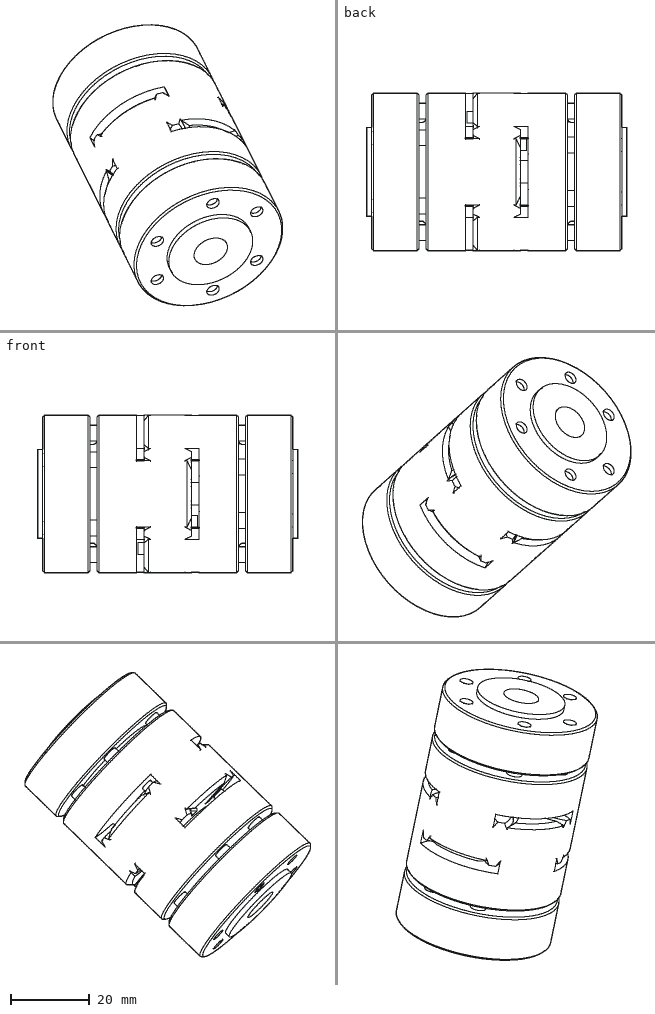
import cadquery as cq
import math


HALF_LENGTH = 33.0
FLANGE_OUTER_X = 31.7
FLANGE_INNER_X = 19.7
BODY_OUTER_X = 17.95
CLAW_ROOT_X = 7.9
CLAW_TIP_X = 6.0

OUTER_DIA = 40.0
BORE_DIA = 9.0
HUB_DIA = 22.6
NECK_DIA = 25.1
NECK_FILLET = 1.1
EDGE_CHAMFER = 0.5

CLAW_COUNT = 3
CLAW_BORE_DIA = 24.0
CLAW_TIP_CHAMFER = 1.1
CLAW_FLANK_CHAMFER_ANGLE = 45
PAD_MIDDLE_RADIUS = 13.2
PAD_WIDTH = 6.85
PAD_FLANK_RADIUS = 14.5

SPIDER_BORE_DIA = 18.0
PAD_TAPER_START_X = 4.35
PAD_TAPER_INSET = 0.8
BUTTON_DIA = 3.0
BUTTON_CIRCLE_RADIUS = 13.85
BUTTON_END_X = 7.6

PIN_DIA = 4.0
PIN_CIRCLE_RADIUS = 15.45
PIN_HALF_ANGLE = 26.0
SCREW_HOLE_DIA = 3.3
SCREW_HOLE_DEPTH = 1.3

CLAW_PITCH = 360 / CLAW_COUNT
PAD_PITCH = CLAW_PITCH / 2

CLAW_ANGLES = [180 + i * CLAW_PITCH for i in range(CLAW_COUNT)]
PAD_ANGLES = [PAD_PITCH / 2 + i * PAD_PITCH for i in range(2 * CLAW_COUNT)]
LEFT_BUTTON_ANGLES = [angle - PAD_PITCH / 2 for angle in CLAW_ANGLES]
RIGHT_BUTTON_ANGLES = [angle + PAD_PITCH / 2 for angle in CLAW_ANGLES]
PIN_ANGLES = [
    i * CLAW_PITCH + side * PIN_HALF_ANGLE for i in range(CLAW_COUNT) for side in (-1, 1)
]


def polar(radius, angle):
    """Point (y, z) at a radius and an angle in degrees about the X axis."""
    turn = math.radians(angle)
    return (radius * math.cos(turn), radius * math.sin(turn))


def cylinders(x_start, x_end, diameter, points=((0, 0),)):
    """Cylinders parallel to X, one at each (y, z) point."""
    plane = cq.Workplane("YZ", origin=(x_start, 0, 0))
    return plane.pushPoints(points).circle(diameter / 2).extrude(x_end - x_start)


def ring_points(radius, angles):
    return [polar(radius, angle) for angle in angles]


def flange():
    """Chamfered end disc with its hub face and blind screw holes."""
    disc = cylinders(-FLANGE_OUTER_X, -FLANGE_INNER_X, OUTER_DIA)
    disc = disc.faces("<X or >X").edges().chamfer(EDGE_CHAMFER)
    hub = cylinders(-HALF_LENGTH, -FLANGE_OUTER_X, HUB_DIA)
    screw_holes = cylinders(
        -FLANGE_OUTER_X,
        -FLANGE_OUTER_X + SCREW_HOLE_DEPTH,
        SCREW_HOLE_DIA,
        ring_points(PIN_CIRCLE_RADIUS, PIN_ANGLES),
    )
    return disc.union(hub).cut(screw_holes)


def neck():
    """Hub crossing the gap to the flange, flaring into the body face."""
    radius = NECK_DIA / 2
    fillet_middle = NECK_FILLET * (1 - math.sqrt(0.5))
    profile = (
        cq.Workplane("XY")
        .moveTo(-FLANGE_INNER_X, 0)
        .lineTo(-FLANGE_INNER_X, radius)
        .lineTo(-BODY_OUTER_X - NECK_FILLET, radius)
        .threePointArc(
            (-BODY_OUTER_X - fillet_middle, radius + fillet_middle),
            (-BODY_OUTER_X, radius + NECK_FILLET),
        )
        .lineTo(-BODY_OUTER_X, 0)
        .close()
    )
    return profile.revolve(360, (0, 0, 0), (1, 0, 0))


def claw_sector(angle):
    """Wedge one pad pitch wide, from the claw root to the claw tip."""
    reach = OUTER_DIA
    corners = [
        (0, 0),
        polar(reach, angle - PAD_PITCH / 2),
        polar(reach, angle + PAD_PITCH / 2),
    ]
    plane = cq.Workplane("YZ", origin=(-CLAW_ROOT_X, 0, 0))
    return plane.polyline(corners).close().extrude(CLAW_ROOT_X + CLAW_TIP_X)


def lens(x_start, x_end, angle, taper=0):
    """Prism between two pad flank arcs; a positive taper narrows it toward x_end."""
    half_width = PAD_WIDTH / 2
    half_length = math.sqrt(PAD_FLANK_RADIUS**2 - (PAD_FLANK_RADIUS - half_width) ** 2)
    inner_point = (PAD_MIDDLE_RADIUS - half_length, 0)
    outer_point = (PAD_MIDDLE_RADIUS + half_length, 0)
    outline = (
        cq.Workplane("YZ", origin=(x_start, 0, 0))
        .moveTo(*inner_point)
        .threePointArc((PAD_MIDDLE_RADIUS, -half_width), outer_point)
        .threePointArc((PAD_MIDDLE_RADIUS, half_width), inner_point)
        .close()
    )
    prism = outline.extrude(x_end - x_start, taper=taper)
    return prism.rotate((0, 0, 0), (1, 0, 0), angle)


def claws():
    """Three ring segments with chamfered tips, cut by the pad pockets between them."""
    ring = cylinders(-CLAW_ROOT_X, CLAW_TIP_X, OUTER_DIA)
    ring = ring.faces(">X").edges().chamfer(CLAW_TIP_CHAMFER)
    ring = ring.cut(cylinders(-CLAW_ROOT_X, CLAW_TIP_X, CLAW_BORE_DIA))
    sectors = claw_sector(CLAW_ANGLES[0])
    for angle in CLAW_ANGLES[1:]:
        sectors = sectors.union(claw_sector(angle))
    ring = ring.intersect(sectors)
    chamfer_start = CLAW_TIP_X - CLAW_TIP_CHAMFER
    for angle in PAD_ANGLES:
        pocket = lens(-CLAW_ROOT_X, CLAW_TIP_X, angle)
        flared_mouth = lens(chamfer_start, CLAW_TIP_X, angle, -CLAW_FLANK_CHAMFER_ANGLE)
        ring = ring.cut(pocket).cut(flared_mouth)
    return ring


def coupling_half():
    """Left half: flange, neck, screws and clawed body."""
    body = cylinders(-BODY_OUTER_X, -CLAW_ROOT_X, OUTER_DIA)
    body = body.faces("<X").edges().chamfer(EDGE_CHAMFER)
    pins = cylinders(
        -FLANGE_INNER_X, -BODY_OUTER_X, PIN_DIA, ring_points(PIN_CIRCLE_RADIUS, PIN_ANGLES)
    )
    half = body.union(claws()).union(neck()).union(pins).union(flange())
    return half.cut(cylinders(-HALF_LENGTH, -CLAW_ROOT_X, BORE_DIA))


def pad(angle):
    """Spider pad filling one pocket, tapered toward both ends."""
    taper = math.degrees(math.atan(PAD_TAPER_INSET / (CLAW_TIP_X - PAD_TAPER_START_X)))
    middle = lens(-PAD_TAPER_START_X, PAD_TAPER_START_X, angle)
    right_end = lens(PAD_TAPER_START_X, CLAW_TIP_X, angle, taper)
    left_end = right_end.mirror("YZ")
    return middle.union(right_end).union(left_end)


def spider():
    """Ring with six pads, trimmed to the outer diameter, with buttons on alternate pad ends."""
    star = cylinders(-CLAW_TIP_X, CLAW_TIP_X, CLAW_BORE_DIA)
    for angle in PAD_ANGLES:
        star = star.union(pad(angle))
    star = star.intersect(cylinders(-CLAW_TIP_X, CLAW_TIP_X, OUTER_DIA))
    star = star.cut(cylinders(-CLAW_TIP_X, CLAW_TIP_X, SPIDER_BORE_DIA))
    left_buttons = cylinders(
        -BUTTON_END_X, 0, BUTTON_DIA, ring_points(BUTTON_CIRCLE_RADIUS, LEFT_BUTTON_ANGLES)
    )
    right_buttons = cylinders(
        0, BUTTON_END_X, BUTTON_DIA, ring_points(BUTTON_CIRCLE_RADIUS, RIGHT_BUTTON_ANGLES)
    )
    return star.union(left_buttons).union(right_buttons)


left_half = coupling_half()
right_half = left_half.rotate((0, 0, 0), (0, 0, 1), 180)
result = spider().union(left_half).union(right_half)